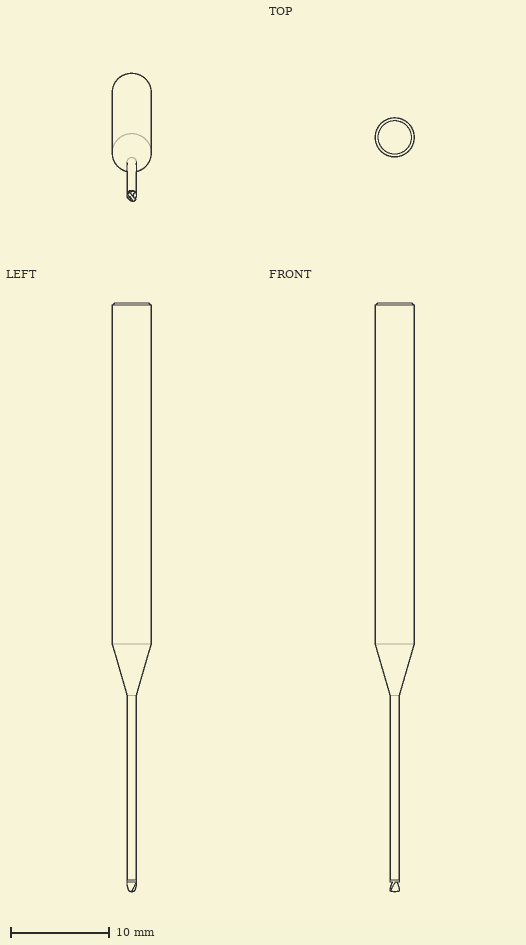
import cadquery as cq
import math

total_length = 60.0
shank_diameter = 4.0
shank_chamfer_height = 0.25
shank_chamfer_width = 0.3
cone_top = 25.25
cone_bottom = 20.0
neck_diameter = 0.95

cutter_diameter = 1.0
cutter_length = 1.2
point_angle = 160.0
flute_length = 1.0
flute_count = 2
flute_depth = cutter_diameter
flute_width = 2 * cutter_diameter
web_thickness = 0.3
helix_angle = 30.0
first_flute_angle = 102.0


def make_holder():
    """Shank, cone and neck turned as one solid about Z."""
    shank_radius = shank_diameter / 2
    neck_radius = neck_diameter / 2
    profile = [
        (0, cutter_length),
        (neck_radius, cutter_length),
        (neck_radius, cone_bottom),
        (shank_radius, cone_top),
        (shank_radius, total_length - shank_chamfer_height),
        (shank_radius - shank_chamfer_width, total_length),
        (0, total_length),
    ]
    return cq.Workplane("XZ").polyline(profile).close().revolve(360, (0, 0, 0), (0, 1, 0))


def make_cutter_blank():
    """Round head with a shallow conical point."""
    radius = cutter_diameter / 2
    point_height = radius / math.tan(math.radians(point_angle / 2))
    profile = [
        (0, 0),
        (radius, point_height),
        (radius, cutter_length),
        (0, cutter_length),
    ]
    return cq.Workplane("XZ").polyline(profile).close().revolve(360, (0, 0, 0), (0, 1, 0))


def make_flutes():
    """Flat-sided grooves on both sides of the web, twisted upward as a right-hand helix."""
    lead = math.pi * cutter_diameter / math.tan(math.radians(helix_angle))
    twist = 360 * flute_length / lead
    flute_offset = (web_thickness + flute_depth) / 2
    centers = cq.Workplane("XY").polarArray(flute_offset, first_flute_angle, 360, flute_count)
    return centers.rect(flute_depth, flute_width).twistExtrude(flute_length, twist)


holder = make_holder()
cutter = make_cutter_blank().cut(make_flutes())

result = cq.Compound.makeCompound([holder.val(), cutter.val()])